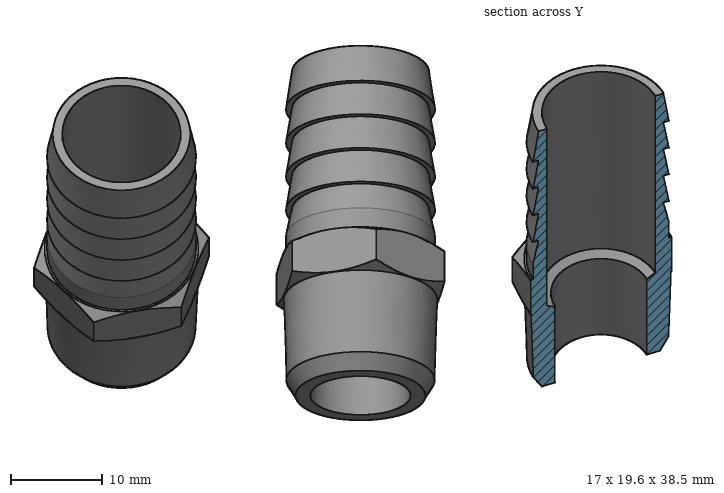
import cadquery as cq
import math

total_height = 38.5
thread_chamfer_top = 1.8
hex_bottom = 11.4
hex_top = 16.55
collar_top = 18.95

barb_diameter = 16.4
barb_root_diameter = 15.1
lowest_barb_edge = 22.05
barb_pitch = 4.0
barb_count = 4

thread_large_diameter = 16.9
thread_small_diameter = 16.32
thread_tip_diameter = 14.25

hex_across_flats = 17.0
hex_across_corners = hex_across_flats / math.cos(math.pi / 6)
hex_chamfer_diameter = 16.9
hex_chamfer_angle = 30.0

thread_bore_diameter = 11.0
hose_bore_diameter = 13.0
bore_cone_bottom = hex_bottom
bore_cone_angle = 60.0


def revolve_profile(points):
    """Revolve a closed (radius, height) outline about the Z axis."""
    return cq.Workplane("XZ").polyline(points).close().revolve(360, (0, 0, 0), (0, 1, 0))


def make_thread_end():
    return revolve_profile([
        (0, 0),
        (thread_tip_diameter / 2, 0),
        (thread_small_diameter / 2, thread_chamfer_top),
        (thread_large_diameter / 2, hex_bottom),
        (0, hex_bottom),
    ])


def make_hexagon():
    """Hexagon with corners on the Y axis, both ends chamfered by a cone."""
    height = hex_top - hex_bottom
    prism = (
        cq.Workplane("XY", origin=(0, 0, hex_bottom))
        .transformed(rotate=(0, 0, 90))
        .polygon(6, hex_across_corners)
        .extrude(height)
    )
    flat_radius = hex_chamfer_diameter / 2
    corner_radius = hex_across_corners / 2
    drop = (corner_radius - flat_radius) * math.tan(math.radians(hex_chamfer_angle))
    envelope = revolve_profile([
        (0, hex_bottom),
        (flat_radius, hex_bottom),
        (corner_radius, hex_bottom + drop),
        (corner_radius, hex_top - drop),
        (flat_radius, hex_top),
        (0, hex_top),
    ])
    return prism.intersect(envelope)


def make_hose_end():
    """Collar and stacked barbs, each tapering towards the hose opening."""
    barb_radius = barb_diameter / 2
    root_radius = barb_root_diameter / 2
    points = [(0, hex_top), (barb_radius, hex_top), (barb_radius, collar_top), (root_radius, lowest_barb_edge)]
    for index in range(barb_count):
        edge_height = lowest_barb_edge + index * barb_pitch
        is_last = index == barb_count - 1
        tip_height = total_height if is_last else edge_height + barb_pitch
        points.append((barb_radius, edge_height))
        points.append((root_radius, tip_height))
    points.append((0, total_height))
    return revolve_profile(points)


def make_bore():
    """Narrow bore that opens through a cone into the wider hose bore."""
    narrow_radius = thread_bore_diameter / 2
    wide_radius = hose_bore_diameter / 2
    cone_height = (wide_radius - narrow_radius) / math.tan(math.radians(bore_cone_angle))
    return revolve_profile([
        (0, 0),
        (narrow_radius, 0),
        (narrow_radius, bore_cone_bottom),
        (wide_radius, bore_cone_bottom + cone_height),
        (wide_radius, total_height),
        (0, total_height),
    ])


result = make_thread_end().union(make_hexagon()).union(make_hose_end()).cut(make_bore())